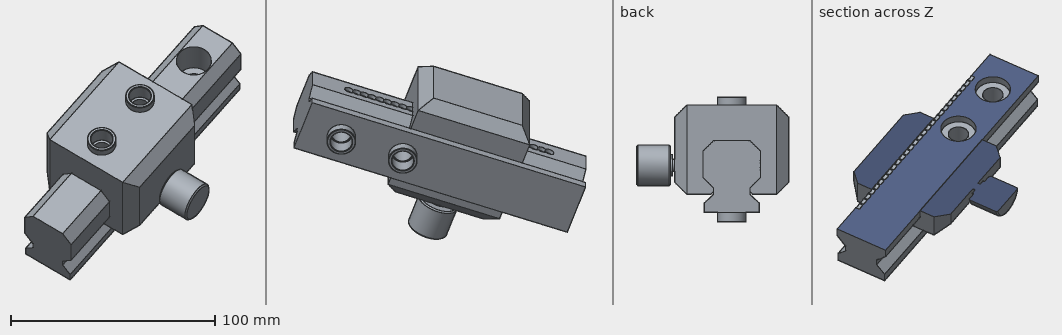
import cadquery as cq


RAIL_LENGTH = 142.0
RAIL_HEIGHT = 35.1
RAIL_WIDTH = 28.1
RAIL_BEVEL = 5.1
HEAD_BOTTOM = 17.0
WAIST_BOTTOM = 8.8
FOOT_WIDTH = 27.0
FOOT_HEIGHT = 4.5
WAIST_HALF = RAIL_WIDTH / 2 - RAIL_BEVEL
WAIST_TOP = HEAD_BOTTOM - RAIL_BEVEL

SCREW_HOLE_DIAMETER = 10.0
SCREW_HEAD_DIAMETER = 17.0
SCREW_HEAD_DEPTH = RAIL_HEIGHT / 2
HOLE_SPACING = 32.0
RAIL_HOLE_END_DISTANCE = 19.9
FIRST_HOLE_Y = RAIL_LENGTH / 2 - RAIL_HOLE_END_DISTANCE
RAIL_HOLE_YS = [FIRST_HOLE_Y, FIRST_HOLE_Y - HOLE_SPACING]

INDEX_COUNT = 27
INDEX_ROW_LENGTH = 104.0
INDEX_PITCH = INDEX_ROW_LENGTH / (INDEX_COUNT - 1)
INDEX_DIAMETER = 4.5
INDEX_DEPTH = 2.0
INDEX_Z = 23.0

CARRIAGE_WIDTH = 56.0
CARRIAGE_LENGTH = 58.0
CARRIAGE_TOP = 52.5
CARRIAGE_BOTTOM = 8.8
CARRIAGE_Y = -10.0
CARRIAGE_BEVEL = 6.0
LIP_BEVEL = 1.3
THREAD_HOLE_DIAMETER = 8.4
CARRIAGE_HOLE_YS = [CARRIAGE_Y - HOLE_SPACING / 2, CARRIAGE_Y + HOLE_SPACING / 2]

KNOB_Z = INDEX_Z
NECK_DIAMETER = 6.0
NECK_LENGTH = 1.1
COLLAR_DIAMETER = 10.6
COLLAR_LENGTH = 0.9
KNOB_DIAMETER = 20.0
KNOB_LENGTH = 16.6
KNOB_CHAMFER = 0.7

SLEEVE_DIAMETER = 14.0
SLEEVE_BORE = 10.6
SLEEVE_CHAMFER = 0.3
CARRIAGE_SLEEVE_HEIGHT = 4.0
RAIL_SLEEVE_HEIGHT = 4.8
SLEEVE_LENGTH = CARRIAGE_SLEEVE_HEIGHT + RAIL_SLEEVE_HEIGHT
CARRIAGE_SLEEVE_Z = CARRIAGE_TOP + CARRIAGE_SLEEVE_HEIGHT - SLEEVE_LENGTH
RAIL_SLEEVE_Z = -RAIL_SLEEVE_HEIGHT


def extrude_along_y(right_side, length, center_y):
    """Prism along Y from the +X half of an outline, listed from bottom to top and mirrored in X."""
    left_side = [(-x, z) for x, z in reversed(right_side)]
    outline = cq.Workplane("XZ", origin=(0, center_y, 0)).polyline(right_side + left_side).close()
    return outline.extrude(length / 2, both=True)


def vertical_cylinders(diameter, y_places, bottom, top):
    places = [(0, y) for y in y_places]
    base = cq.Workplane("XY", origin=(0, 0, bottom))
    return base.pushPoints(places).circle(diameter / 2).extrude(top - bottom)


def head_profile():
    """Right side of the rail from the bottom of its waist to its top."""
    return [
        (WAIST_HALF, WAIST_BOTTOM),
        (WAIST_HALF, WAIST_TOP),
        (RAIL_WIDTH / 2, HEAD_BOTTOM),
        (RAIL_WIDTH / 2, RAIL_HEIGHT - RAIL_BEVEL),
        (RAIL_WIDTH / 2 - RAIL_BEVEL, RAIL_HEIGHT),
    ]


def make_rail():
    foot_profile = [(FOOT_WIDTH / 2, 0), (FOOT_WIDTH / 2, FOOT_HEIGHT)]
    rail = extrude_along_y(foot_profile + head_profile(), RAIL_LENGTH, 0)

    head_seat = RAIL_HEIGHT - SCREW_HEAD_DEPTH
    sleeve_seat = RAIL_SLEEVE_Z + SLEEVE_LENGTH
    rail = rail.cut(vertical_cylinders(SCREW_HOLE_DIAMETER, RAIL_HOLE_YS, 0, RAIL_HEIGHT))
    rail = rail.cut(vertical_cylinders(SCREW_HEAD_DIAMETER, RAIL_HOLE_YS, head_seat, RAIL_HEIGHT))
    rail = rail.cut(vertical_cylinders(SLEEVE_DIAMETER, RAIL_HOLE_YS, 0, sleeve_seat))

    side = cq.Workplane("YZ", origin=(-RAIL_WIDTH / 2, 0, INDEX_Z))
    for i in range(INDEX_COUNT):
        y = i * INDEX_PITCH - INDEX_ROW_LENGTH / 2
        rail = rail.cut(side.center(y, 0).circle(INDEX_DIAMETER / 2).extrude(INDEX_DEPTH))
    return rail


def make_carriage_block():
    height = CARRIAGE_TOP - CARRIAGE_BOTTOM
    center = (0, CARRIAGE_Y, (CARRIAGE_TOP + CARRIAGE_BOTTOM) / 2)
    block = cq.Workplane("XY").box(CARRIAGE_WIDTH, CARRIAGE_LENGTH, height).translate(center)
    return block.faces("<X or >X").edges().chamfer(CARRIAGE_BEVEL)


def make_rail_slot():
    """Slot that fits round the rail head and widens at its mouth."""
    mouth = [
        (WAIST_HALF + LIP_BEVEL, CARRIAGE_BOTTOM),
        (WAIST_HALF, CARRIAGE_BOTTOM + LIP_BEVEL),
    ]
    return extrude_along_y(mouth + head_profile()[1:], CARRIAGE_LENGTH, CARRIAGE_Y)


def make_knob():
    def disc(x, diameter, length):
        return cq.Workplane("YZ", origin=(x, CARRIAGE_Y, KNOB_Z)).circle(diameter / 2).extrude(length)

    neck_x = CARRIAGE_WIDTH / 2
    collar_x = neck_x + NECK_LENGTH
    grip_x = collar_x + COLLAR_LENGTH
    neck = disc(neck_x, NECK_DIAMETER, NECK_LENGTH)
    collar = disc(collar_x, COLLAR_DIAMETER, COLLAR_LENGTH)
    grip = disc(grip_x, KNOB_DIAMETER, KNOB_LENGTH).edges().chamfer(KNOB_CHAMFER)
    return neck.union(collar).union(grip)


def make_carriage():
    """Carriage block with its knob, as one solid."""
    carriage = make_carriage_block().cut(make_rail_slot())
    carriage = carriage.cut(
        vertical_cylinders(THREAD_HOLE_DIAMETER, CARRIAGE_HOLE_YS, RAIL_HEIGHT, CARRIAGE_TOP)
    )
    carriage = carriage.cut(
        vertical_cylinders(SLEEVE_DIAMETER, CARRIAGE_HOLE_YS, CARRIAGE_SLEEVE_Z, CARRIAGE_TOP)
    )
    return carriage.union(make_knob())


def make_sleeve(y, bottom):
    base = cq.Workplane("XY", origin=(0, y, bottom))
    ring = base.circle(SLEEVE_DIAMETER / 2).circle(SLEEVE_BORE / 2).extrude(SLEEVE_LENGTH)
    return ring.faces("<Z or >Z").edges().chamfer(SLEEVE_CHAMFER)


rail = make_rail()
carriage = make_carriage()
sleeves = []
for hole_y in CARRIAGE_HOLE_YS:
    sleeves.append(make_sleeve(hole_y, CARRIAGE_SLEEVE_Z).val())
for hole_y in RAIL_HOLE_YS:
    sleeves.append(make_sleeve(hole_y, RAIL_SLEEVE_Z).val())

result = cq.Compound.makeCompound([rail.val(), carriage.val(), *sleeves])